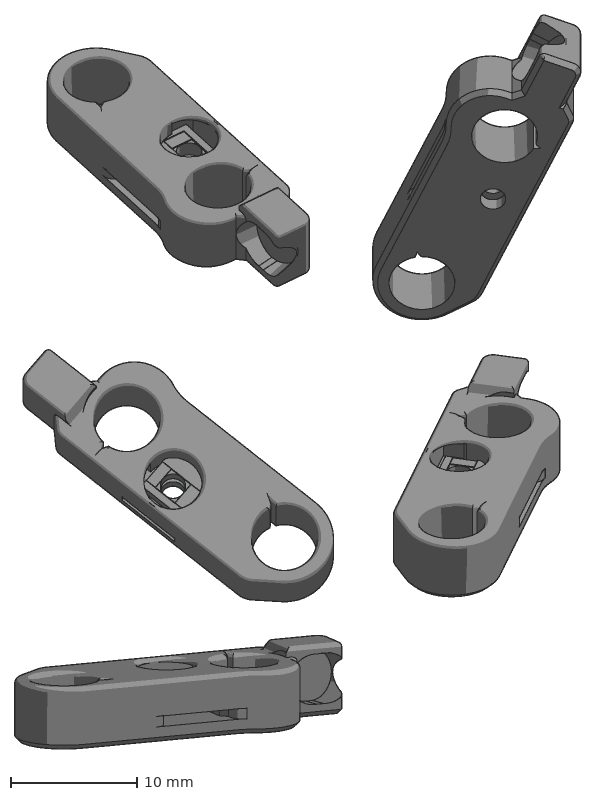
import cadquery as cq
import math

body_height = 5.0
edge_size = 0.4
total_length = 28.27
total_height = 5.8

left_radius = 3.9
back_y = 4.9
back_slope_angle = 126
back_corner_radius = 1.98
bulge_x, bulge_y = 16.28, -1.07
bulge_radius = 3.48
waist_start_x = 13.2
shoulder_x = 18.97
shoulder_radius = 1.0
neck_x = 20.55
neck_front_y = -0.68

hole_radius = 2.6
hole_centres = [(0, 0), (15.9, 0.35)]
notch_directions = [-30, 90]
notch_tip_radius = 3.05
notch_half_angle = 28
foot_radius = 0.28
clearance_radius = 3.5
clearance_height = 0.4

screw_x, screw_y = 9.85, 1.92
screw_diameter = 2.0
head_diameter = 4.6
head_floor_z = 3.5
step_depth = 0.08
ledge_right_x = 11.75
ledge_back_y = 3.53
gutter_back_y = 4.18
gutter_right_x = 13.57
gutter_corner_y = 2.25
gutter_bottom_z = 2.37
gutter_top_z = body_height - edge_size

slot_bottom_z, slot_top_z = 1.25, 2.1
slot_left_x, slot_right_x = 7.25, 12.65
slot_mouth_x = 13.17
slot_bevel_y = -2.55
mouth_radius = 0.95
mouth_drop = 0.08

arm_right_x = total_length - left_radius
arm_front_y, arm_back_y = -0.1, 3.62
arm_corner_radius = 1.0
cap_foot_x = 19.05
cap_left_x = 19.68
seat_x, seat_z = 21.8, 3.02
seat_radius = 2.04
seat_depth = 1.45
seat_bend = 0.6
seat_tilt = 18


def polar(radius, degrees, centre=(0, 0)):
    angle = math.radians(degrees)
    return (centre[0] + radius * math.cos(angle), centre[1] + radius * math.sin(angle))


def body_outline():
    """Closed outline of the body, counter-clockwise from the lower left tangent point."""
    front_y = -left_radius
    rise = bulge_y - front_y
    run = bulge_x - waist_start_x
    waist_radius = (run**2 + rise**2 - bulge_radius**2) / (2 * (bulge_radius - rise))
    waist_centre = (waist_start_x, front_y - waist_radius)
    waist_angle = math.degrees(math.atan2(rise + waist_radius, run))
    waist_mid = polar(waist_radius, (90 + waist_angle) / 2, waist_centre)
    waist_end = polar(waist_radius, waist_angle, waist_centre)
    bulge_centre = (bulge_x, bulge_y)
    bulge_mid = polar(bulge_radius, waist_angle / 2 - 90, bulge_centre)
    bulge_right = bulge_x + bulge_radius

    shoulder_centre = (shoulder_x, back_y - shoulder_radius)
    shoulder_end = polar(shoulder_radius, 45, shoulder_centre)

    slope = math.radians(back_slope_angle)
    corner_y = back_y - back_corner_radius
    corner_x = (left_radius - back_corner_radius - corner_y * math.sin(slope)) / math.cos(slope)
    corner_centre = (corner_x, corner_y)

    return (
        cq.Workplane("XY")
        .moveTo(0, front_y)
        .lineTo(waist_start_x, front_y)
        .threePointArc(waist_mid, waist_end)
        .threePointArc(bulge_mid, (bulge_right, bulge_y))
        .lineTo(bulge_right, neck_front_y)
        .lineTo(neck_x, neck_front_y + neck_x - bulge_right)
        .lineTo(neck_x, shoulder_end[1] - (neck_x - shoulder_end[0]))
        .lineTo(*shoulder_end)
        .threePointArc(polar(shoulder_radius, 67.5, shoulder_centre), (shoulder_x, back_y))
        .lineTo(corner_x, back_y)
        .threePointArc(
            polar(back_corner_radius, (90 + back_slope_angle) / 2, corner_centre),
            polar(back_corner_radius, back_slope_angle, corner_centre),
        )
        .lineTo(*polar(left_radius, back_slope_angle))
        .threePointArc(polar(left_radius, (back_slope_angle + 270) / 2), (0, front_y))
        .close()
    )


def box_between(low, high):
    size = [b - a for a, b in zip(low, high)]
    return cq.Workplane("XY").box(*size, centered=False).translate(low)


def with_rounded_rim(hole):
    """Cutter for a hole about the Z axis whose rim at the body top is rounded outwards."""
    block_radius = notch_tip_radius + 4 * edge_size
    block = cq.Workplane("XY").circle(block_radius).extrude(body_height)
    plate = block.cut(hole)
    rim = plate.faces(">Z").val().innerWires()[0].Edges()
    return block.cut(plate.newObject(rim).fillet(edge_size))


def notched_hole():
    """Cutter for a round hole with a pointed notch towards +X."""
    half_width = notch_tip_radius * math.tan(math.radians(notch_half_angle))
    notch = (
        cq.Workplane("XY")
        .polyline([(notch_tip_radius, 0), (0, half_width), (0, -half_width)])
        .close()
        .extrude(body_height)
        .intersect(cq.Workplane("XY").rect(notch_tip_radius * 2, hole_radius).extrude(body_height))
    )
    return cq.Workplane("XY").circle(hole_radius).extrude(body_height).union(notch)


def make_body():
    body = body_outline().extrude(body_height)
    return body.faces("<Z").edges().chamfer(edge_size).faces(">Z").edges().fillet(edge_size)


def make_arm():
    """Block on the right, as tall as the cap, with a sloping left end above the body."""
    profile = [
        (neck_x - edge_size, 0),
        (arm_right_x, 0),
        (arm_right_x, total_height),
        (cap_left_x, total_height),
        (cap_foot_x, body_height),
        (cap_foot_x - edge_size, body_height),
        (cap_foot_x - edge_size, body_height - edge_size),
        (neck_x - edge_size, body_height - edge_size),
    ]
    arm = (
        cq.Workplane("XZ", origin=(0, arm_back_y, 0))
        .polyline(profile)
        .close()
        .extrude(arm_back_y - arm_front_y)
    )
    arm = arm.edges("|Z and >X and >Y").fillet(arm_corner_radius)
    arm = arm.edges("|Z and >X and <Y").fillet(edge_size)
    foot_point = (cap_foot_x, arm_front_y, body_height)
    foot = cq.selectors.NearestToPointSelector(foot_point)
    arm = arm.edges("|Y").edges(foot).fillet(foot_radius)
    arm = arm.faces("<Z").edges("not <X").chamfer(edge_size)
    arm = arm.faces(">Z").edges().fillet(edge_size)

    clearance = (
        cq.Workplane("XY", origin=(*hole_centres[1], body_height))
        .circle(clearance_radius)
        .extrude(clearance_height)
    )
    return arm.cut(clearance)


def magnet_seat():
    """Round seat in the front of the arm, its right half turned outwards about Z."""
    floor_y = arm_front_y + seat_depth
    floor = cq.Plane(origin=(seat_x, floor_y, seat_z), xDir=(1, 0, 0), normal=(0, -1, 0))
    reach = 2 * seat_depth
    straight = cq.Workplane(floor).circle(seat_radius).extrude(reach)
    half_tilt = math.radians(seat_tilt / 2)
    first = cq.Vector(seat_x, floor_y)
    second = first + cq.Vector(math.cos(half_tilt), math.sin(half_tilt)) * seat_bend
    bend = box_between(
        (seat_x, floor_y - reach, seat_z - seat_radius),
        (seat_x + seat_bend, floor_y, seat_z + seat_radius),
    )
    bend = bend.rotate(first, first + cq.Vector(0, 0, 0.28), seat_tilt / 2)
    turned = straight.translate(second - first)
    turned = turned.rotate(second, second + cq.Vector(0, 0, 0.28), seat_tilt)
    return straight.union(bend).union(turned)


def screw_pocket():
    """Head bore with a stepped floor, a gutter along two sides of the floor and the screw hole."""
    bore = cq.Workplane("XY").circle(head_diameter / 2).extrude(body_height)
    bore = with_rounded_rim(bore).translate((screw_x, screw_y, 0))
    gutter = box_between(
        (slot_left_x, screw_y, gutter_bottom_z), (slot_right_x, gutter_back_y, gutter_top_z))
    corner = box_between(
        (slot_right_x, gutter_corner_y, gutter_bottom_z), (gutter_right_x, gutter_back_y, gutter_top_z))
    ledge = box_between((0, -left_radius, 0), (ledge_right_x, ledge_back_y, head_floor_z))
    below_gutter = box_between((0, -left_radius, 0), (gutter_right_x, back_y, gutter_bottom_z))
    pocket = bore.union(gutter).union(corner).cut(ledge).cut(below_gutter)
    half = screw_diameter / 2
    strip_reach = math.sqrt((head_diameter / 2) ** 2 - half**2)
    strip = box_between(
        (screw_x - strip_reach, screw_y - half, head_floor_z - step_depth),
        (ledge_right_x, screw_y + half, head_floor_z),
    )
    square = box_between(
        (screw_x - half, screw_y - half, head_floor_z - 2 * step_depth),
        (screw_x + half, screw_y + half, head_floor_z),
    )
    screw = cq.Workplane("XY").center(screw_x, screw_y).circle(half).extrude(head_floor_z)
    return pocket.union(strip).union(square).union(screw)


def strap_slot():
    """Flat slot from front to back with a rounded mouth."""
    mouth_y = -left_radius
    bevel = slot_mouth_x - slot_right_x
    right_centre = (slot_mouth_x + mouth_radius, mouth_y - mouth_drop + mouth_radius)
    left_centre = (slot_left_x - mouth_radius, mouth_y + mouth_radius)
    return (
        cq.Workplane("XY", origin=(0, 0, slot_bottom_z))
        .moveTo(slot_left_x, back_y)
        .lineTo(slot_left_x, left_centre[1])
        .threePointArc(polar(mouth_radius, -45, left_centre), (left_centre[0], mouth_y))
        .lineTo(right_centre[0], mouth_y - mouth_radius)
        .lineTo(right_centre[0], mouth_y - mouth_drop)
        .threePointArc(polar(mouth_radius, 225, right_centre), (slot_mouth_x, right_centre[1]))
        .lineTo(slot_mouth_x, slot_bevel_y)
        .lineTo(slot_right_x, slot_bevel_y + bevel)
        .lineTo(slot_right_x, back_y)
        .close()
        .extrude(slot_top_z - slot_bottom_z)
    )


result = make_body().union(make_arm()).cut(magnet_seat())
for centre, direction in zip(hole_centres, notch_directions):
    hole = with_rounded_rim(notched_hole()).rotate((0, 0, 0), (0, 0, 1), direction)
    result = result.cut(hole.translate((*centre, 0)))
result = result.cut(screw_pocket()).cut(strap_slot())